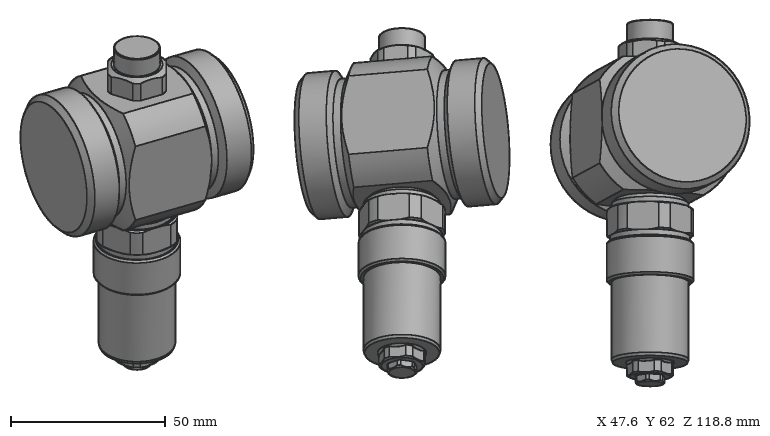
import cadquery as cq
import math

TURNED_SLOPE = math.tan(math.radians(30))
PIECE_OVERLAP = 1.0

block_width = 44.0
block_turned_radius = 26.0
block_half_length = 15.9
neck_radius = 21.0
cap_radius = 23.8
cap_length = 12.6
cap_edge_chamfer = 1.9
drum_half_length = 31.0
block_bottom = -block_width / 2
block_top = block_width / 2

plug_hex_flats = 19.0
plug_hex_radius = 10.3
plug_hex_face_radius = 8.3
plug_hex_top = 29.6
plug_head_radius = 7.5
plug_head_top = 36.0
plug_head_chamfer = 0.3

collar_radius = 12.5
collar_top_chamfer = 1.4
nut_top = -25.1
nut_bottom = -34.3
nut_flats = 26.0
nut_radius = 14.0
nut_face_radius = 13.2
spacer_radius = 13.0
sleeve_top = -36.1
sleeve_bottom = -49.3
sleeve_radius = 14.1
sleeve_chamfer = 0.7
barrel_radius = 12.5
barrel_bottom = -75.8
barrel_taper_height = 1.0
barrel_end_radius = 12.1

flare_radius = 7.9
flare_height = 0.8
flare_end_radius = 7.1
screw_hex_flats = 14.0
screw_hex_radius = 7.5
screw_hex_face_radius = 6.7
screw_hex_bottom = -80.4
tip_hex_flats = 9.0
tip_hex_radius = 4.9
tip_chamfer = 0.6
tip_bottom = -82.8


def turned(profile):
    """Revolve (radius, z) points, closed along the axis, around Z."""
    bottom = profile[0][1]
    top = profile[-1][1]
    points = [(0, bottom)] + profile + [(0, top)]
    return cq.Workplane("XZ").polyline(points).close().revolve(360, (0, 0), (0, 1))


def turned_hex(across_flats, profile, flats_face_x=True):
    """Make a hexagonal bar cut by a turned (radius, z) profile, with flats facing X or Y."""
    bottom = profile[0][1]
    top = profile[-1][1]
    corner_diameter = across_flats / math.cos(math.radians(30))
    bar = cq.Workplane("XY").workplane(offset=bottom).polygon(6, corner_diameter).extrude(top - bottom)
    if flats_face_x:
        bar = bar.rotate((0, 0, 0), (0, 0, 1), 30)
    return bar.intersect(turned(profile))


def along_y(body):
    """Turn a body made around Z so that its axis lies along Y."""
    return body.rotate((0, 0, 0), (1, 0, 0), 90)


def make_block():
    chamfer_depth = (block_turned_radius - neck_radius) * TURNED_SLOPE
    straight_half = block_half_length - chamfer_depth
    envelope = turned([
        (neck_radius, -block_half_length),
        (block_turned_radius, -straight_half),
        (block_turned_radius, straight_half),
        (neck_radius, block_half_length),
    ])
    square = cq.Workplane("XY").box(block_width, 2 * block_half_length, block_width)
    return square.intersect(along_y(envelope))


def make_neck_and_caps():
    inner_face = drum_half_length - cap_length
    rim_start = inner_face + (cap_radius - neck_radius) * TURNED_SLOPE
    rim_end = drum_half_length - cap_edge_chamfer
    half = [
        (neck_radius, inner_face),
        (cap_radius, rim_start),
        (cap_radius, rim_end),
        (cap_radius - cap_edge_chamfer, drum_half_length),
    ]
    mirrored_half = [(radius, -y) for radius, y in reversed(half)]
    return along_y(turned(mirrored_half + half))


def make_plug():
    chamfer_depth = (plug_hex_radius - plug_hex_face_radius) * TURNED_SLOPE
    hexagon = turned_hex(plug_hex_flats, [
        (plug_hex_radius, block_top - PIECE_OVERLAP),
        (plug_hex_radius, plug_hex_top - chamfer_depth),
        (plug_hex_face_radius, plug_hex_top),
    ])
    head = turned([
        (plug_head_radius, plug_hex_top - PIECE_OVERLAP),
        (plug_head_radius, plug_head_top - plug_head_chamfer),
        (plug_head_radius - plug_head_chamfer, plug_head_top),
    ])
    return hexagon.union(head)


def make_stem():
    return turned([
        (barrel_end_radius, barrel_bottom),
        (barrel_radius, barrel_bottom + barrel_taper_height),
        (barrel_radius, sleeve_bottom),
        (sleeve_radius - sleeve_chamfer, sleeve_bottom),
        (sleeve_radius, sleeve_bottom + sleeve_chamfer),
        (sleeve_radius, sleeve_top - sleeve_chamfer),
        (sleeve_radius - sleeve_chamfer, sleeve_top),
        (spacer_radius, sleeve_top),
        (spacer_radius, nut_bottom),
        (collar_radius, nut_bottom),
        (collar_radius, block_bottom - collar_top_chamfer),
        (collar_radius - collar_top_chamfer, block_bottom),
        (collar_radius - collar_top_chamfer, block_bottom + PIECE_OVERLAP),
    ])


def make_nut():
    chamfer_depth = (nut_radius - nut_face_radius) * TURNED_SLOPE
    return turned_hex(nut_flats, [
        (nut_face_radius, nut_bottom),
        (nut_radius, nut_bottom + chamfer_depth),
        (nut_radius, nut_top - chamfer_depth),
        (nut_face_radius, nut_top),
    ])


def make_screw():
    flare = turned([
        (flare_end_radius, barrel_bottom - flare_height),
        (flare_radius, barrel_bottom),
        (flare_radius, barrel_bottom + PIECE_OVERLAP),
    ])
    chamfer_depth = (screw_hex_radius - screw_hex_face_radius) * TURNED_SLOPE
    hexagon = turned_hex(screw_hex_flats, [
        (screw_hex_face_radius, screw_hex_bottom),
        (screw_hex_radius, screw_hex_bottom + chamfer_depth),
        (screw_hex_radius, barrel_bottom + PIECE_OVERLAP),
    ])
    tip = turned_hex(tip_hex_flats, [
        (tip_hex_radius - tip_chamfer, tip_bottom),
        (tip_hex_radius, tip_bottom + tip_chamfer),
        (tip_hex_radius, screw_hex_bottom + PIECE_OVERLAP),
    ], flats_face_x=False)
    return flare.union(hexagon).union(tip)


result = make_block()
for piece in (make_neck_and_caps(), make_plug(), make_stem(), make_nut(), make_screw()):
    result = result.union(piece)